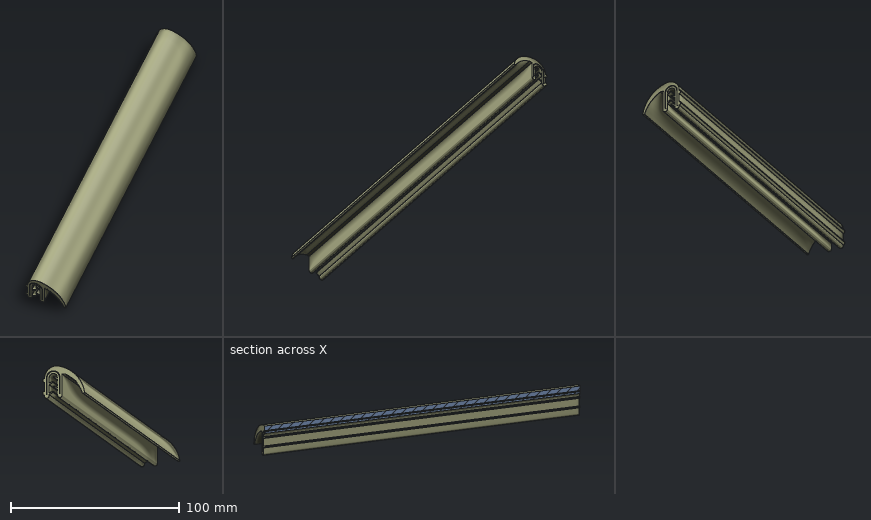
import cadquery as cq
import math

length = 200.0

channel_half = 2.5
leg_thickness = 3.0
leg_outer = channel_half + leg_thickness
leg_corner_radius = 1.4
channel_arc_z = 12.3

core_thickness = 0.3
core_bottom = 2.4
core_radius = channel_half + leg_thickness / 2

overall_height = 19.5
crown_radius = 7.3
crown_x = crown_radius - leg_outer
crown_z = overall_height - crown_radius
crown_mid_angle = math.radians(-45)
crown_end_angle = math.radians(12)

lip_root_x = 7.3
lip_root_z = 14.2
lip_inner_mid = (13.4, 9.6)
lip_inner_end = (18.1, 2.0)
lip_outer_end = (19.4, 2.3)
lip_tip_mid = (18.85, 1.75)

bead_protrusion = 1.1
bead_half_width = 1.3
bead_centres = (3.25, 11.0)

fin_tip_half_height = 0.3
fin_root_height = 1.2
fin_rise = 1.0
fin_tip_x = 0.1
fin_pitch = 6.0
left_fin_z = 2.1
right_fin_z = left_fin_z + fin_pitch / 2
fins_per_side = 2


def profile_plane():
    """Plane of the front end: local x is X, local y is Z, and negative extrusion runs along +Y."""
    return cq.Workplane("XZ", origin=(0, -length / 2, 0))


def extrude(sketch):
    return sketch.extrude(-length)


def u_section(half_width, bottom):
    """Solid filling an arch with straight sides, from bottom up to the round top."""
    return extrude(
        profile_plane()
        .moveTo(-half_width, bottom)
        .lineTo(-half_width, channel_arc_z)
        .threePointArc((0, channel_arc_z + half_width), (half_width, channel_arc_z))
        .lineTo(half_width, bottom)
        .close()
    )


def trim_body():
    """Legs, crown and cover lip in one closed outline."""
    crown_mid = (
        crown_x + crown_radius * math.sin(crown_mid_angle),
        crown_z + crown_radius * math.cos(crown_mid_angle),
    )
    crown_end = (
        crown_x + crown_radius * math.sin(crown_end_angle),
        crown_z + crown_radius * math.cos(crown_end_angle),
    )
    body = extrude(
        profile_plane()
        .moveTo(-leg_outer, 0)
        .lineTo(-leg_outer, crown_z)
        .threePointArc(crown_mid, crown_end)
        .tangentArcPoint(lip_outer_end, relative=False)
        .threePointArc(lip_tip_mid, lip_inner_end)
        .threePointArc(lip_inner_mid, (lip_root_x, lip_root_z))
        .lineTo(leg_outer, lip_root_z)
        .lineTo(leg_outer, 0)
        .lineTo(channel_half, 0)
        .lineTo(channel_half, channel_arc_z)
        .threePointArc((0, channel_arc_z + channel_half), (-channel_half, channel_arc_z))
        .lineTo(-channel_half, 0)
        .close()
    )
    return body.faces("<Z").edges("|Y").fillet(leg_corner_radius)


def bead(centre_z):
    """Rounded bead along the outside of the left leg."""
    return extrude(
        profile_plane()
        .moveTo(-leg_outer, centre_z - bead_half_width)
        .threePointArc((-leg_outer - bead_protrusion, centre_z), (-leg_outer, centre_z + bead_half_width))
        .close()
    )


def fin(side, root_z):
    """Fin rising from the channel wall (side -1 is left, +1 is right) towards a blunt tip."""
    wall = side * channel_half
    tip = side * fin_tip_x
    tip_z = root_z + fin_root_height / 2 + fin_rise
    return extrude(
        profile_plane()
        .moveTo(wall, root_z)
        .lineTo(tip, tip_z - fin_tip_half_height)
        .lineTo(tip, tip_z + fin_tip_half_height)
        .lineTo(wall, root_z + fin_root_height)
        .close()
    )


core_outer_half = core_radius + core_thickness / 2
core_inner_half = core_radius - core_thickness / 2
core = u_section(core_outer_half, core_bottom).cut(u_section(core_inner_half, core_bottom))

trim = trim_body()
for centre_z in bead_centres:
    trim = trim.union(bead(centre_z))
for index in range(fins_per_side):
    trim = trim.union(fin(-1, left_fin_z + index * fin_pitch))
    trim = trim.union(fin(1, right_fin_z + index * fin_pitch))
trim = trim.cut(core)

result = cq.Compound.makeCompound([trim.val(), core.val()])